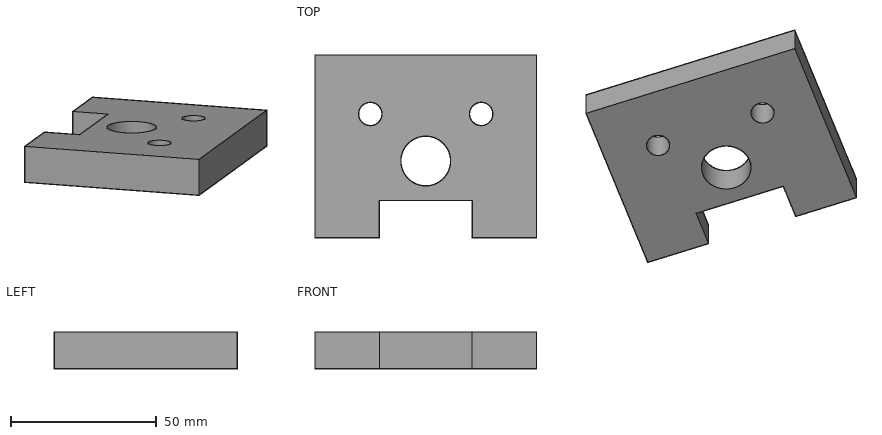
import cadquery as cq

length = 76.2
width = 62.9
thickness = 12.7

notch_width = 31.8
notch_depth = 12.7

bore_diameter = 17.0
bore_from_front = 26.4
small_hole_diameter = 7.9
small_hole_spacing = length / 2
small_hole_from_front = 42.5

plate = cq.Workplane("XY").box(length, width, thickness, centered=(True, False, False))

notch = cq.Workplane("XY").box(notch_width, notch_depth, thickness, centered=(True, False, False))

bore = cq.Workplane("XY").center(0, bore_from_front).circle(bore_diameter / 2).extrude(thickness)

small_holes = (
    cq.Workplane("XY")
    .pushPoints([(side * small_hole_spacing / 2, small_hole_from_front) for side in (-1, 1)])
    .circle(small_hole_diameter / 2)
    .extrude(thickness)
)

result = plate.cut(notch).cut(bore).cut(small_holes)